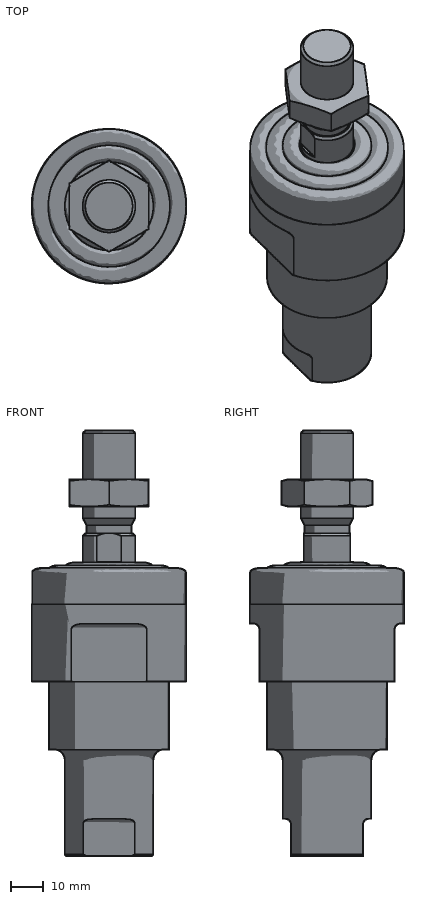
import cadquery as cq
import math


TOTAL_HEIGHT = 129.0
SHANK_RADIUS = 13.48
SHANK_TOP = 32.2
SHANK_CHAMFER = 0.5
SHANK_FILLET = 3.1
BARREL_RADIUS = 36.5 / 2
HEAD_RADIUS = 47.0 / 2
HEAD_BOTTOM = 52.8
HEAD_CHAMFER = 0.3
CAP_RADIUS = 46.7 / 2
CAP_BOTTOM = 76.4

SHANK_FLAT_WIDTH = 21.9
SHANK_FLAT_TOP = 11.2
SHANK_FLAT_FILLET = 1.5
HEAD_FLAT_WIDTH = 41.0
HEAD_FLAT_TOP = 70.4
HEAD_FLAT_FILLET = 1.8
STUD_FLAT_WIDTH = 14.2
STUD_FLAT_BOTTOM = 89.1

RING_TOP = 87.3
RING_RISE = 0.84
RING_PITCH = 5.0
RING_COUNT = 3
RING_OUTER_HEIGHT = 1.5
RING_INNER_WIDTH = 1.9
RING_INNER_HEIGHT = 1.5
FIRST_RING_CREST = 20.4

STUD_RADIUS = 16.0 / 2
STUD_TOP_RADIUS = 14.3 / 2
STUD_CHAMFER = STUD_RADIUS - STUD_TOP_RADIUS
NECK_RADIUS = 13.7 / 2
COLLAR_TOP = 97.8
COLLAR_CHAMFER = 0.8
NECK_TOP = 100.2
THREAD_BOTTOM = 102.4

NUT_BOTTOM = 105.9
NUT_HEIGHT = 8.3
NUT_ACROSS_FLATS = 24.0
NUT_ACROSS_CORNERS = NUT_ACROSS_FLATS / math.cos(math.pi / 6)
NUT_FACE_INSET = 0.1
NUT_FACE_RADIUS = NUT_ACROSS_FLATS / 2 - NUT_FACE_INSET
NUT_CHAMFER_ANGLE = 15.0

ELLIPSE_HANDLE = 4 / 3 * (math.sqrt(2) - 1)


def coupler_profile():
    """Half outline of the housing, bellows rings and stud as (radius, height)."""
    outline = (
        cq.Workplane("XZ")
        .lineTo(SHANK_RADIUS - SHANK_CHAMFER, 0)
        .lineTo(SHANK_RADIUS, SHANK_CHAMFER)
        .lineTo(SHANK_RADIUS, SHANK_TOP - SHANK_FILLET)
        .radiusArc((SHANK_RADIUS + SHANK_FILLET, SHANK_TOP), SHANK_FILLET)
        .lineTo(BARREL_RADIUS, SHANK_TOP)
        .lineTo(BARREL_RADIUS, HEAD_BOTTOM)
        .lineTo(HEAD_RADIUS - HEAD_CHAMFER, HEAD_BOTTOM)
        .lineTo(HEAD_RADIUS, HEAD_BOTTOM + HEAD_CHAMFER)
        .lineTo(HEAD_RADIUS, CAP_BOTTOM)
        .lineTo(CAP_RADIUS, CAP_BOTTOM)
    )
    ring_edge = CAP_RADIUS
    for i in range(RING_COUNT):
        top = RING_TOP + i * RING_RISE
        crest = FIRST_RING_CREST - i * RING_PITCH
        outline = add_ring(outline, ring_edge, crest, top)
        ring_edge = crest - RING_INNER_WIDTH
    stud_foot = top - RING_INNER_HEIGHT

    return (
        outline
        .lineTo(STUD_RADIUS, stud_foot)
        .lineTo(STUD_RADIUS, COLLAR_TOP - COLLAR_CHAMFER)
        .lineTo(STUD_RADIUS - COLLAR_CHAMFER, COLLAR_TOP)
        .lineTo(NECK_RADIUS, COLLAR_TOP)
        .lineTo(NECK_RADIUS, NECK_TOP)
        .lineTo(STUD_RADIUS, THREAD_BOTTOM)
        .lineTo(STUD_RADIUS, TOTAL_HEIGHT - STUD_CHAMFER)
        .lineTo(STUD_TOP_RADIUS, TOTAL_HEIGHT)
        .lineTo(0, TOTAL_HEIGHT)
        .close()
    )


def add_ring(outline, outer_edge, crest, top):
    """Climb the outer side of one ring to its crest, then fall into the next groove.

    Both sides are quarter ellipses, upright at the edges and level at the crest.
    """
    groove = crest - RING_INNER_WIDTH
    foot = top - RING_OUTER_HEIGHT
    floor = top - RING_INNER_HEIGHT
    outer_handle = (outer_edge - crest) * ELLIPSE_HANDLE
    inner_handle = RING_INNER_WIDTH * ELLIPSE_HANDLE
    return (
        outline
        .lineTo(outer_edge, foot)
        .bezier([
            (outer_edge, foot),
            (outer_edge, foot + RING_OUTER_HEIGHT * ELLIPSE_HANDLE),
            (crest + outer_handle, top),
            (crest, top),
        ])
        .bezier([
            (crest, top),
            (crest - inner_handle, top),
            (groove, floor + RING_INNER_HEIGHT * ELLIPSE_HANDLE),
            (groove, floor),
        ])
    )


def flat_cutters(across_flats, bottom, top, fillet=0.0):
    """Two blocks that cut opposite wrench flats; a fillet rounds the upper inner edge."""
    cutter = (
        cq.Workplane("XY")
        .box(2 * HEAD_RADIUS, HEAD_RADIUS, top - bottom, centered=(True, False, False))
        .translate((0, across_flats / 2, bottom))
    )
    if fillet:
        cutter = cutter.edges("<Y and >Z").fillet(fillet)
    return cutter.union(cutter.mirror("XZ"))


def make_coupler():
    body = coupler_profile().revolve(360, (0, 0), (0, 1))
    body = body.cut(flat_cutters(SHANK_FLAT_WIDTH, 0, SHANK_FLAT_TOP, SHANK_FLAT_FILLET))
    body = body.cut(flat_cutters(HEAD_FLAT_WIDTH, HEAD_BOTTOM, HEAD_FLAT_TOP, HEAD_FLAT_FILLET))
    return body.cut(flat_cutters(STUD_FLAT_WIDTH, STUD_FLAT_BOTTOM, COLLAR_TOP))


def make_nut():
    """Hexagon with two corners on the Y axis, coned on both faces and bored to fit the stud."""
    corner_radius = NUT_ACROSS_CORNERS / 2
    cone_height = (corner_radius - NUT_FACE_RADIUS) * math.tan(math.radians(NUT_CHAMFER_ANGLE))
    hexagon = (
        cq.Workplane("XY")
        .polygon(6, NUT_ACROSS_CORNERS)
        .extrude(NUT_HEIGHT)
        .rotate((0, 0, 0), (0, 0, 1), 90)
    )
    coned_envelope = (
        cq.Workplane("XZ")
        .lineTo(NUT_FACE_RADIUS, 0)
        .lineTo(corner_radius, cone_height)
        .lineTo(corner_radius, NUT_HEIGHT - cone_height)
        .lineTo(NUT_FACE_RADIUS, NUT_HEIGHT)
        .lineTo(0, NUT_HEIGHT)
        .close()
        .revolve(360, (0, 0), (0, 1))
    )
    bore = cq.Workplane("XY").circle(STUD_RADIUS).extrude(NUT_HEIGHT)
    return hexagon.intersect(coned_envelope).cut(bore).translate((0, 0, NUT_BOTTOM))


coupler = make_coupler()
nut = make_nut()
result = cq.Compound.makeCompound([coupler.solids().val(), nut.solids().val()])